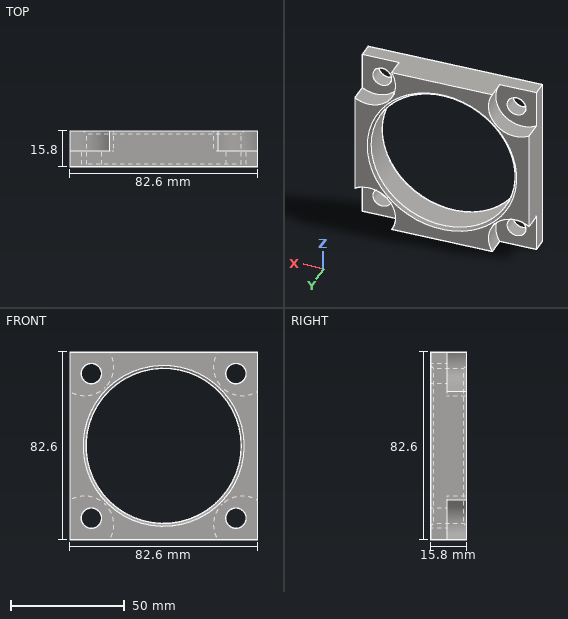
import cadquery as cq
import math

side = 82.55
depth = 15.85
flange_thickness = 7.1
bore_diameter = 68.1
bore_chamfer = 1.3
hole_diameter = 8.8
hole_inset = 9.5
relief_opening = 17.4
relief_inset = 6.6

relief_radius = math.hypot(relief_inset, relief_opening - relief_inset)
relief_pitch = side - 2 * relief_inset
hole_pitch = side - 2 * hole_inset


def extrude_back(sketch, length):
    """Extrude a sketch on an XZ workplane toward +Y."""
    return sketch.extrude(-length)


body = extrude_back(cq.Workplane("XZ").rect(side, side), depth)

bore = extrude_back(cq.Workplane("XZ").circle(bore_diameter / 2), depth)
body = body.cut(bore)
body = body.faces("<Y or >Y").edges("%CIRCLE").chamfer(bore_chamfer)

reliefs = extrude_back(
    cq.Workplane("XZ", origin=(0, flange_thickness, 0))
    .rect(relief_pitch, relief_pitch, forConstruction=True)
    .vertices()
    .circle(relief_radius),
    depth - flange_thickness,
)
body = body.cut(reliefs)

holes = extrude_back(
    cq.Workplane("XZ")
    .rect(hole_pitch, hole_pitch, forConstruction=True)
    .vertices()
    .circle(hole_diameter / 2),
    depth,
)
result = body.cut(holes)